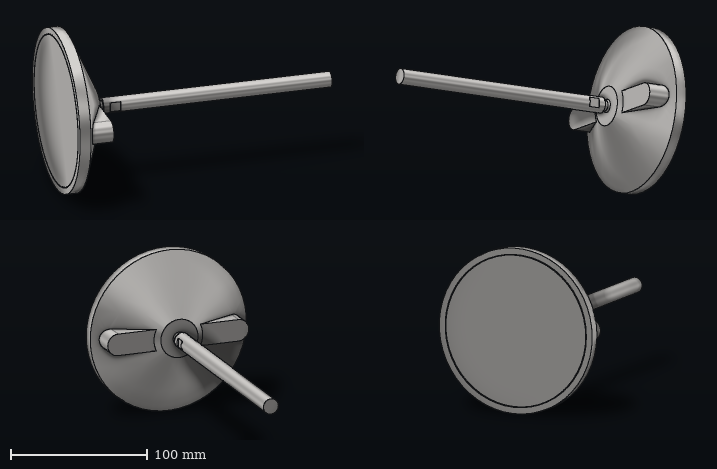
import cadquery as cq
import math

disc_diameter = 124.0
rim_thickness = 8.5
hub_diameter = 29.5
foot_height = 30.0

pad_diameter = 113.5
groove_diameter = 114.0
groove_depth = 1.0

bar_length = 112.0
bar_width = 16.5
bar_top = 28.0

total_length = 210.0
stem_diameter = 12.0
stem_start = 34.9
neck_diameter = 7.8
ball_diameter = 12.0
neck_start = 31.3

flat_start = 40.0
flat_length = 8.2
across_flats = 9.7


def cylinder_along_y(diameter, start, end):
    """Solid cylinder on the Y axis between two Y positions."""
    base = cq.Workplane("XZ", origin=(0, start, 0))
    return base.circle(diameter / 2).extrude(start - end)


def make_foot():
    profile = [
        (0, 0),
        (disc_diameter / 2, 0),
        (disc_diameter / 2, rim_thickness),
        (hub_diameter / 2, foot_height),
        (0, foot_height),
    ]
    return cq.Workplane("XY").polyline(profile).close().revolve(360, (0, 0), (0, 1))


def make_pad_groove():
    outside = cylinder_along_y(groove_diameter, 0, groove_depth)
    return outside.cut(cylinder_along_y(pad_diameter, 0, groove_depth))


def make_bar():
    base = cq.Workplane("XZ", origin=(0, rim_thickness, 0))
    return base.slot2D(bar_length, bar_width).extrude(rim_thickness - bar_top)


def make_ball():
    neck_offset = math.sqrt(ball_diameter**2 - neck_diameter**2) / 2
    ball_center = neck_start - neck_offset
    return cq.Workplane("XY", origin=(0, ball_center, 0)).sphere(ball_diameter / 2)


def make_stem():
    stem = cylinder_along_y(stem_diameter, stem_start, total_length)
    flat_depth = (stem_diameter - across_flats) / 2
    flat_y = flat_start + flat_length / 2
    for side in (-1, 1):
        cutter = cq.Workplane("XY").box(flat_depth, flat_length, stem_diameter)
        offset = side * (across_flats + flat_depth) / 2
        stem = stem.cut(cutter.translate((offset, flat_y, 0)))
    return stem


foot = make_foot().union(make_bar()).cut(make_pad_groove())
neck = cylinder_along_y(neck_diameter, neck_start, stem_start)
result = foot.union(make_ball()).union(neck).union(make_stem())